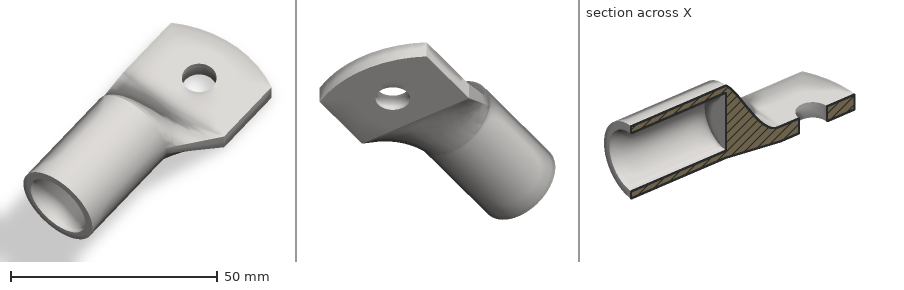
import cadquery as cq
import math

total_length = 68.4
total_height = 23.3

barrel_diameter = 21.3
bore_diameter = 16.9
barrel_length = 29.0
barrel_axis_z = total_height - barrel_diameter / 2

palm_width = 31.0
palm_thickness = 4.5
tip_rise = 4.2
stud_hole_diameter = 8.4
stud_hole_to_tip = 12.85

neck_length = 16.55
side_half_angle = 6.0
palm_start = barrel_length + neck_length

neck_sections = [(0.2, 5.6), (0.4, 9.1), (0.6, 14.0), (0.8, 19.3)]


def barrel_cylinder(diameter):
    """Cylinder on the barrel axis, running from the mouth at Y = 0 to the neck."""
    plane = cq.Plane(origin=(0, 0, barrel_axis_z), xDir=(1, 0, 0), normal=(0, 1, 0))
    return cq.Workplane(plane).circle(diameter / 2).extrude(barrel_length)


def neck_section(fraction, top_height):
    """Closed neck outline: curved top, narrow sides and curved bottom, from palm (0) to barrel (1)."""
    radius = barrel_diameter / 2
    angle = math.radians(side_half_angle)
    rim_x = radius * math.cos(angle)
    rim_half_side = radius * math.sin(angle)
    y = palm_start - neck_length * fraction

    def blend(palm_value, barrel_value):
        return palm_value + (barrel_value - palm_value) * fraction

    half_width = blend(palm_width / 2, rim_x)
    upper = blend(palm_thickness, barrel_axis_z + rim_half_side)
    lower = blend(0, barrel_axis_z - rim_half_side)
    side_x = blend(palm_width / 2, radius)
    bottom_height = blend(0, barrel_axis_z - radius)
    corners = [
        cq.Vector(half_width, y, upper),
        cq.Vector(-half_width, y, upper),
        cq.Vector(-half_width, y, lower),
        cq.Vector(half_width, y, lower),
    ]
    middles = [
        cq.Vector(0, y, top_height),
        cq.Vector(-side_x, y, (upper + lower) / 2),
        cq.Vector(0, y, bottom_height),
        cq.Vector(side_x, y, (upper + lower) / 2),
    ]
    edges = []
    for i, middle in enumerate(middles):
        start = corners[i]
        end = corners[(i + 1) % len(corners)]
        if fraction == 0:
            edges.append(cq.Edge.makeLine(start, end))
        else:
            edges.append(cq.Edge.makeThreePointArc(start, middle, end))
    return cq.Wire.assembleEdges(edges)


def make_neck():
    """Smooth transition from the flat palm to the round barrel end."""
    stations = [(0, palm_thickness)] + neck_sections + [(1, total_height)]
    sections = [neck_section(fraction, top_height) for fraction, top_height in stations]
    return cq.Workplane(cq.Solid.makeLoft(sections))


def make_palm():
    """Flat palm with an arc at its tip and a through hole for the stud."""
    half_width = palm_width / 2
    shoulder = total_length - tip_rise
    return (
        cq.Workplane("XY")
        .moveTo(-half_width, palm_start)
        .lineTo(half_width, palm_start)
        .lineTo(half_width, shoulder)
        .threePointArc((0, total_length), (-half_width, shoulder))
        .close()
        .extrude(palm_thickness)
        .cut(
            cq.Workplane("XY")
            .center(0, total_length - stud_hole_to_tip)
            .circle(stud_hole_diameter / 2)
            .extrude(palm_thickness)
        )
    )


barrel = barrel_cylinder(barrel_diameter)
bore = barrel_cylinder(bore_diameter)
result = barrel.union(make_neck()).union(make_palm()).cut(bore)